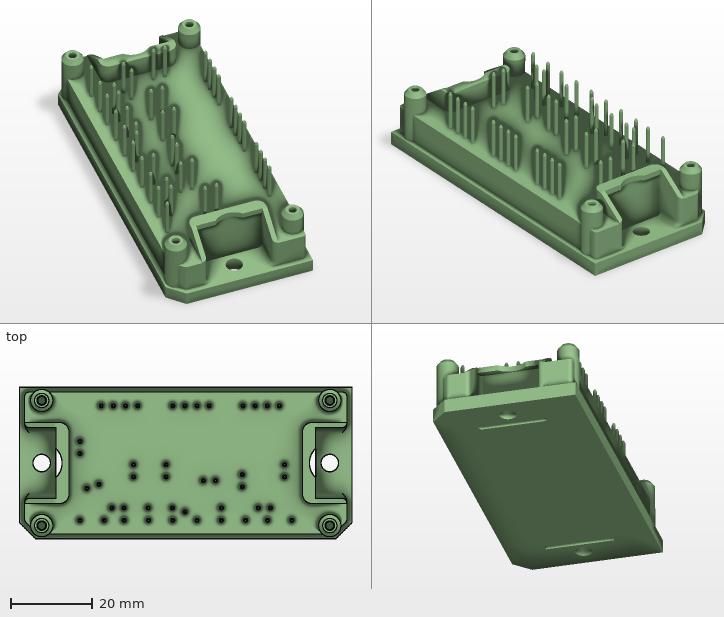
import cadquery as cq
import math

LENGTH = 82.0
WIDTH = 37.4
PLATE_HEIGHT = 3.5
PLATE_CHAMFER = 4.0

HOUSING_LENGTH = 79.4
HOUSING_WIDTH = 34.9
HOUSING_TOP = 11.15
HOUSING_FRONT_CHAMFER = 3.1
HOUSING_CORNER_FILLET = 1.0

COLLAR_TOP = 16.6
COLLAR_WIDTH = 20.0
COLLAR_CORNER_FILLET = 2.3
COLLAR_INNER_END = 28.8
SLOPE_TOP_X = 32.2
SLOPE_END_Z = 11.4
SLOPE_FILLET = 1.8

RECESS_WIDTH = 17.5
RECESS_INNER_END = 32.0
RECESS_FOOT_RADIUS = 1.2
RECESS_MOUTH_RADIUS = 1.1
SLOT_INNER_END = 30.2
SLOT_TOP = 15.1
SLOT_CORNER_RADIUS = 1.0
SCREW_X = 35.5
SCREW_HOLE_DIAMETER = 4.3
SCREW_HEAD_DIAMETER = 10.0

POST_X = 35.5
POST_Y = 15.4
POST_DIAMETER = 5.5
POST_TOP = 17.05
POST_RIM_DIAMETER = 3.5
POST_TAPER_HEIGHT = 1.2
POST_HOLE_DIAMETER = 2.0
POST_HOLE_MOUTH_DIAMETER = 2.4

PIN_DIAMETER = 1.0
PIN_TOP = 21.2
PIN_TIP_HEIGHT = 0.6
PIN_TIP_INSET = 0.25
WIDE_PITCH = 6.0
PIN_PITCH = WIDE_PITCH / 2

BACK_ROW_Y = 14.1
FRONT_ROW_Y = -14.1
SECOND_ROW_Y = -11.1
PIN_ROWS = [
    (-20.8, BACK_ROW_Y, 4, PIN_PITCH),
    (-3.2, BACK_ROW_Y, 4, PIN_PITCH),
    (14.1, BACK_ROW_Y, 4, PIN_PITCH),
    (4.35, -4.35, 2, PIN_PITCH),
    (-18.2, SECOND_ROW_Y, 2, PIN_PITCH),
    (-9.3, SECOND_ROW_Y, 2, WIDE_PITCH),
    (8.8, SECOND_ROW_Y, 1, PIN_PITCH),
    (17.9, SECOND_ROW_Y, 2, PIN_PITCH),
    (-26.1, FRONT_ROW_Y, 2, WIDE_PITCH),
    (-15.2, FRONT_ROW_Y, 6, WIDE_PITCH),
    (20.2, FRONT_ROW_Y, 2, WIDE_PITCH),
]
PIN_PAIRS = [
    (-26.1, 5.3),
    (-12.9, -0.4),
    (-4.8, -0.4),
    (24.35, -0.4),
    (13.9, -2.9),
]
SINGLE_PINS = [(-21.4, -5.25), (-24.35, -6.2), (-0.2, -12.05)]


def block(x_min, x_max, width, z_min, z_max):
    """Box between two X and two Z positions, centred on Y = 0."""
    size = (x_max - x_min, width, z_max - z_min)
    return cq.Workplane("XY").box(*size, centered=(False, True, False)).translate((x_min, 0, z_min))


def both_ends(shape):
    """The shape together with its mirror image at the other end."""
    return shape.union(shape.mirror("YZ"))


def make_plate():
    plate = block(-LENGTH / 2, LENGTH / 2, WIDTH, 0, PLATE_HEIGHT)
    return plate.edges("|Z and <Y").chamfer(PLATE_CHAMFER)


def make_housing():
    half = HOUSING_LENGTH / 2
    housing = block(-half, half, HOUSING_WIDTH, PLATE_HEIGHT, HOUSING_TOP)
    housing = housing.edges("|Z and <Y").chamfer(HOUSING_FRONT_CHAMFER)
    return housing.edges("|Z").fillet(HOUSING_CORNER_FILLET)


def make_collar():
    """Left collar, with its top sloping down almost to the housing top at the end face."""
    end = -HOUSING_LENGTH / 2
    collar = (
        cq.Workplane("XZ")
        .moveTo(end, PLATE_HEIGHT)
        .lineTo(end, SLOPE_END_Z)
        .lineTo(-SLOPE_TOP_X, COLLAR_TOP)
        .lineTo(-COLLAR_INNER_END, COLLAR_TOP)
        .lineTo(-COLLAR_INNER_END, PLATE_HEIGHT)
        .close()
        .extrude(COLLAR_WIDTH / 2, both=True)
    )
    slope_edge = cq.selectors.NearestToPointSelector((-SLOPE_TOP_X, 0, COLLAR_TOP))
    collar = collar.edges(slope_edge).fillet(SLOPE_FILLET)
    return collar.edges("|Z and >X").fillet(COLLAR_CORNER_FILLET)


def make_recess():
    """Left recess opening: a channel whose lower edges leave a concave foot."""
    recess = block(-LENGTH / 2, -RECESS_INNER_END, RECESS_WIDTH, PLATE_HEIGHT, COLLAR_TOP)
    recess = recess.edges("|X and <Z").fillet(RECESS_FOOT_RADIUS)
    return recess


def make_mouth_rounding():
    """Cutter that rounds the recess edge on the left end face, down the wall and along the foot."""
    end = -HOUSING_LENGTH / 2
    wall = RECESS_WIDTH / 2
    radius = RECESS_MOUTH_RADIUS
    foot_y = wall - RECESS_FOOT_RADIUS
    foot_z = PLATE_HEIGHT + RECESS_FOOT_RADIUS
    diagonal = radius * (1 - math.sqrt(0.5))
    spandrel = (
        cq.Workplane("XY", origin=(0, 0, foot_z))
        .moveTo(end, wall)
        .lineTo(end, wall + radius)
        .threePointArc((end + diagonal, wall + diagonal), (end + radius, wall))
        .close()
    )
    along_wall = spandrel.extrude(COLLAR_TOP - foot_z)
    along_foot = spandrel.toPending().revolve(90, (0, foot_y, 0), (-1, foot_y, 0))
    rounding = along_wall.union(along_foot)
    return rounding.union(rounding.mirror("XZ"))


def make_slot():
    """Left through slot behind the recess, reaching up under the overhang."""
    slot = block(-RECESS_INNER_END, -SLOT_INNER_END, RECESS_WIDTH, 0, SLOT_TOP)
    return slot.edges("|Z and >X").fillet(SLOT_CORNER_RADIUS)


def make_screw_cuts():
    """Left screw hole through the plate and head clearance through the overhang."""
    screw = cq.Workplane("XY").center(-SCREW_X, 0)
    hole = screw.circle(SCREW_HOLE_DIAMETER / 2).extrude(PLATE_HEIGHT)
    clearance = screw.workplane(offset=SLOT_TOP).circle(SCREW_HEAD_DIAMETER / 2).extrude(COLLAR_TOP - SLOT_TOP)
    return hole.union(clearance)


def corner_points():
    return [(x, y) for x in (-POST_X, POST_X) for y in (-POST_Y, POST_Y)]


def make_posts():
    taper_width = (POST_DIAMETER - POST_RIM_DIAMETER) / 2
    posts = (
        cq.Workplane("XY", origin=(0, 0, PLATE_HEIGHT))
        .pushPoints(corner_points())
        .circle(POST_DIAMETER / 2)
        .extrude(POST_TOP - PLATE_HEIGHT)
    )
    return posts.faces(">Z").edges().chamfer(POST_TAPER_HEIGHT, taper_width)


def make_post_holes():
    """Blind holes down to the housing top, each with a countersunk mouth."""
    mouth_depth = (POST_HOLE_MOUTH_DIAMETER - POST_HOLE_DIAMETER) / 2
    bore = cq.Solid.makeCylinder(POST_HOLE_DIAMETER / 2, POST_TOP - HOUSING_TOP, cq.Vector(0, 0, HOUSING_TOP))
    mouth = cq.Solid.makeCone(
        POST_HOLE_DIAMETER / 2,
        POST_HOLE_MOUTH_DIAMETER / 2,
        mouth_depth,
        cq.Vector(0, 0, POST_TOP - mouth_depth),
    )
    hole = bore.fuse(mouth)
    return cq.Workplane("XY").pushPoints(corner_points()).eachpoint(hole, combine=False)


def pin_points():
    points = list(SINGLE_PINS)
    for x, y, count, spacing in PIN_ROWS:
        points += [(x + i * spacing, y) for i in range(count)]
    for x, y in PIN_PAIRS:
        points += [(x, y), (x, y - PIN_PITCH)]
    return points


def make_pins():
    pins = (
        cq.Workplane("XY", origin=(0, 0, HOUSING_TOP))
        .pushPoints(pin_points())
        .circle(PIN_DIAMETER / 2)
        .extrude(PIN_TOP - HOUSING_TOP)
    )
    return pins.faces(">Z").edges().chamfer(PIN_TIP_HEIGHT, PIN_TIP_INSET)


upper = make_housing().union(both_ends(make_collar()))
upper = upper.cut(both_ends(make_recess())).cut(both_ends(make_mouth_rounding()))
body = make_plate().union(upper)
body = body.cut(both_ends(make_slot())).cut(both_ends(make_screw_cuts()))
body = body.union(make_posts()).cut(make_post_holes())
result = body.union(make_pins())